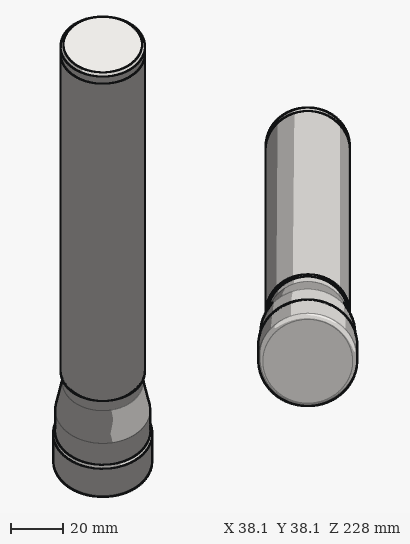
import cadquery as cq

total_height = 228.0

head_radius = 19.05
head_height = 17.8
head_rim_round = 1.8
shoulder_height = 1.4

collar_radius = 18.2
collar_top = 29.5
flare_top = 44.5
neck_radius = 15.5
neck_top = 49.7

grip_radius = 16.2
grip_chamfer = grip_radius - neck_radius

tail_height = 5.0
tail_chamfer = 1.1
tail_base = total_height - tail_height


def make_barrel():
    """Head, collar, flare, neck and grip, turned as one solid about Z."""
    half_profile = (
        cq.Workplane("XZ")
        .lineTo(head_radius - head_rim_round, 0)
        .radiusArc((head_radius, head_rim_round), -head_rim_round)
        .lineTo(head_radius, head_height - shoulder_height)
        .lineTo(collar_radius, head_height)
        .lineTo(collar_radius, collar_top)
        .lineTo(neck_radius, flare_top)
        .lineTo(neck_radius, neck_top)
        .lineTo(grip_radius, neck_top + grip_chamfer)
        .lineTo(grip_radius, tail_base)
        .lineTo(0, tail_base)
        .close()
    )
    return half_profile.revolve(360, (0, 0), (0, 1))


def make_tail_cap():
    """Disc with a chamfered upper edge, seated on the end of the grip."""
    disc = cq.Workplane("XY").workplane(offset=tail_base).circle(grip_radius).extrude(tail_height)
    return disc.faces(">Z").edges().chamfer(tail_chamfer)


barrel = make_barrel()
tail_cap = make_tail_cap()

result = cq.Compound.makeCompound([barrel.val(), tail_cap.val()])